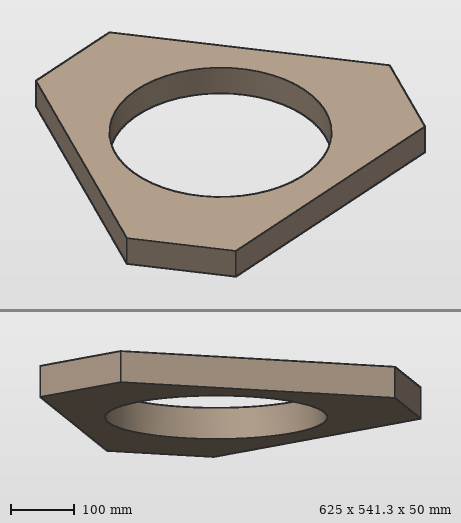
import cadquery as cq
import math

long_side = 450.0
short_side = 175.0
thickness = 50.0
hole_diameter = 350.0

full_side = long_side + 2 * short_side
inradius = full_side / (2 * math.sqrt(3))


def rotated(point, degrees):
    """Turn a point about the origin."""
    x, y = point
    angle = math.radians(degrees)
    return (
        x * math.cos(angle) - y * math.sin(angle),
        x * math.sin(angle) + y * math.cos(angle),
    )


outline = []
for turn in (0, 120, 240):
    for x in (-long_side / 2, long_side / 2):
        outline.append(rotated((x, -inradius), turn))

plate = cq.Workplane("XY").polyline(outline).close().extrude(thickness)

hole = cq.Workplane("XY").circle(hole_diameter / 2).extrude(thickness)

result = plate.cut(hole)